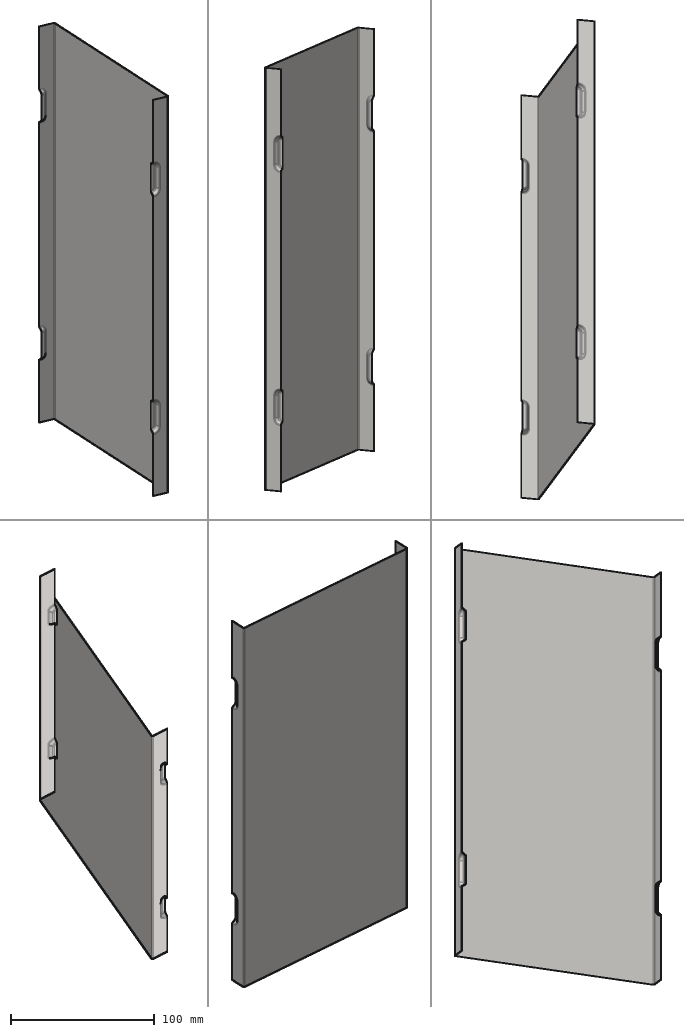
import cadquery as cq
import math

width = 152.0
flange_depth = 12.5
height = 300.0
sheet = 0.5
inner_bend = sheet
outer_bend = inner_bend + sheet

dimple_length = 25.5
dimple_reach = 5.5
dimple_rise = 3.0
dimple_corner = 4.8
wall_slope = 35.0
crown_radius = 1.5
root_radius = sheet
dimple_offset = 60.0
dimple_heights = (dimple_offset, height - dimple_offset)

slope_angle = math.radians(wall_slope)
hollow_inset = sheet / math.cos(slope_angle) - sheet * math.tan(slope_angle)

outer_face = width / 2
inner_face = outer_face - sheet
free_edge = -flange_depth / 2


def channel():
    """Back panel with two flanges, as an outer block less its inside."""
    outside = (
        cq.Workplane("XY")
        .rect(width, flange_depth)
        .extrude(height)
        .edges("|Z and >Y")
        .fillet(outer_bend)
    )
    inside = (
        cq.Workplane("XY")
        .center(0, -sheet)
        .rect(2 * inner_face, flange_depth)
        .extrude(height)
        .edges("|Z and >Y")
        .fillet(inner_bend)
    )
    return outside.cut(inside)


def dimple_form(base_x, inset, crown, root, z_mid):
    """Sloped bump rising inwards (-X) from a slab whose inner surface is at base_x.

    It is symmetric about the free edge, so the edge passes through its middle.
    """
    base = cq.Workplane("YZ", origin=(base_x, free_edge, z_mid))
    half_width = dimple_reach - inset
    length = dimple_length - 2 * inset
    slab_size = 3 * dimple_length
    slab = base.rect(slab_size, slab_size).extrude(sheet)
    footprint = (
        cq.Sketch()
        .rect(2 * half_width, length)
        .vertices()
        .fillet(dimple_corner - inset)
    )
    bump = (
        base.placeSketch(footprint)
        .extrude(-dimple_rise, taper=wall_slope)
        .faces("<X")
        .edges()
        .fillet(crown)
    )
    root_edges = cq.selectors.BoxSelector(
        (base_x - root / 2, free_edge - 2 * dimple_reach, z_mid - dimple_length),
        (base_x + root / 2, free_edge + 2 * dimple_reach, z_mid + dimple_length),
    )
    return slab.union(bump).edges(root_edges).fillet(root)


def dimple_metal(z_mid):
    """Raised inner surface of one dimple, kept on the flange side of the free edge."""
    raised = dimple_form(inner_face, 0, crown_radius, root_radius, z_mid)
    flange_side = (
        cq.Workplane("XY", origin=(outer_face, free_edge, z_mid))
        .box(4 * dimple_rise, 2 * dimple_reach, 2 * dimple_length, centered=(True, False, True))
    )
    return raised.intersect(flange_side)


def dimple_hollow(z_mid):
    """Recess in the outer surface that leaves the dimple one sheet thick."""
    return dimple_form(outer_face, hollow_inset, crown_radius - sheet, root_radius + sheet, z_mid)


result = channel()
for z_mid in dimple_heights:
    metal = dimple_metal(z_mid)
    hollow = dimple_hollow(z_mid)
    result = result.union(metal).union(metal.mirror("YZ"))
    result = result.cut(hollow).cut(hollow.mirror("YZ"))